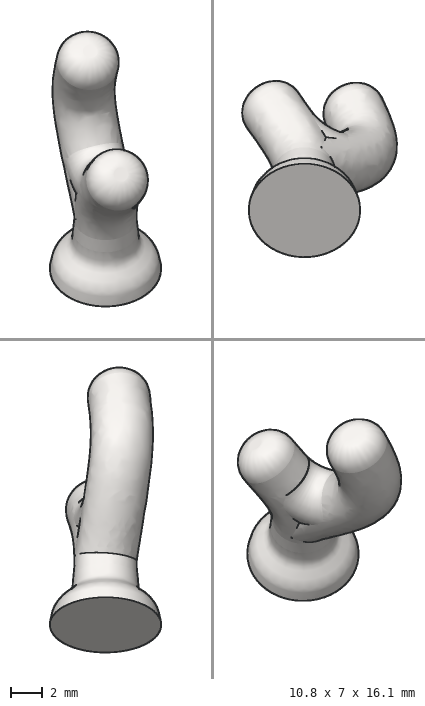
import cadquery as cq
import math

foot_radius = 7.0 / 2
foot_rim_height = 0.08
bulge_radius = 3.33
bulge_height = 0.85
shoulder_radius = 2.8
shoulder_height = 1.61
neck_base_radius = 2.05
neck_base_height = 3.3
neck_top_height = 4.26
foot_rim_direction = (-0.2, 1)
neck_direction = (0, 1)

arm_radius = 1.96
tip_rounding = 1.5

crotch_rounding = 0.97
crotch_x = -1.0
crotch_z = 10.05
crotch_start = 225
crotch_sweep = 97
web_clearance = 0.05
web_radius = arm_radius - web_clearance

tall_arm_points = [(0, 4.78), (-2.69, 7.61), (-4.52, 10.78), (-3.68, 14.43)]
tall_arm_tilts = (-39.5, 21.4)
short_arm_points = [(0, neck_top_height), (2.38, 9.67)]
short_arm_tilts = (0, 34.3)


def make_foot():
    """Revolve the flared foot and the neck about Z."""
    profile = (
        cq.Workplane("XZ")
        .lineTo(foot_radius, 0)
        .lineTo(foot_radius, foot_rim_height)
        .spline(
            [
                (bulge_radius, bulge_height),
                (shoulder_radius, shoulder_height),
                (neck_base_radius, neck_base_height),
            ],
            tangents=[foot_rim_direction, neck_direction],
            includeCurrent=True,
        )
        .lineTo(arm_radius, neck_top_height)
        .lineTo(0, neck_top_height)
        .close()
    )
    return profile.revolve(360, (0, 0, 0), (0, 1, 0))


def tilted_plane(point, tilt):
    """Plane across an arm at a centreline point, facing along the arm."""
    x, z = point
    lean = math.radians(tilt)
    return cq.Plane(origin=(x, 0, z), xDir=(0, 1, 0), normal=(math.sin(lean), 0, math.cos(lean)))


def make_arm(points, tilts):
    """Sweep a round arm along its centreline and close it with a rounded tip."""
    start_plane = tilted_plane(points[0], tilts[0])
    end_plane = tilted_plane(points[-1], tilts[1])
    ends = [(plane.zDir.x, plane.zDir.z) for plane in (start_plane, end_plane)]
    path = cq.Workplane("XZ").spline(points, tangents=ends)
    tube = cq.Workplane(start_plane).circle(arm_radius).sweep(path)
    flat_radius = arm_radius - tip_rounding
    diagonal = tip_rounding * math.sqrt(0.5)
    tip = (
        cq.Workplane("XY")
        .lineTo(arm_radius, 0)
        .threePointArc((flat_radius + diagonal, diagonal), (flat_radius, tip_rounding))
        .lineTo(0, tip_rounding)
        .close()
        .revolve(360, (0, 0, 0), (0, 1, 0))
        .rotate((0, 0, 0), (1, 0, 0), 90)
    )
    return tube.union(tip.val().moved(cq.Location(end_plane)))


def make_crotch():
    """Revolve an elbow that rounds the valley between the two arms."""
    middle = crotch_rounding + web_radius
    elbow = (
        cq.Workplane("XZ")
        .center(middle, 0)
        .circle(web_radius)
        .revolve(crotch_sweep, (-middle, 0, 0), (-middle, 1, 0))
    )
    elbow = elbow.rotate((0, 0, 0), (1, 0, 0), 90)
    elbow = elbow.rotate((0, 0, 0), (0, 1, 0), -crotch_start)
    return elbow.translate((crotch_x, 0, crotch_z))


tall_arm = make_arm(tall_arm_points, tall_arm_tilts)
short_arm = make_arm(short_arm_points, short_arm_tilts)
result = make_foot().union(tall_arm).union(short_arm).union(make_crotch())